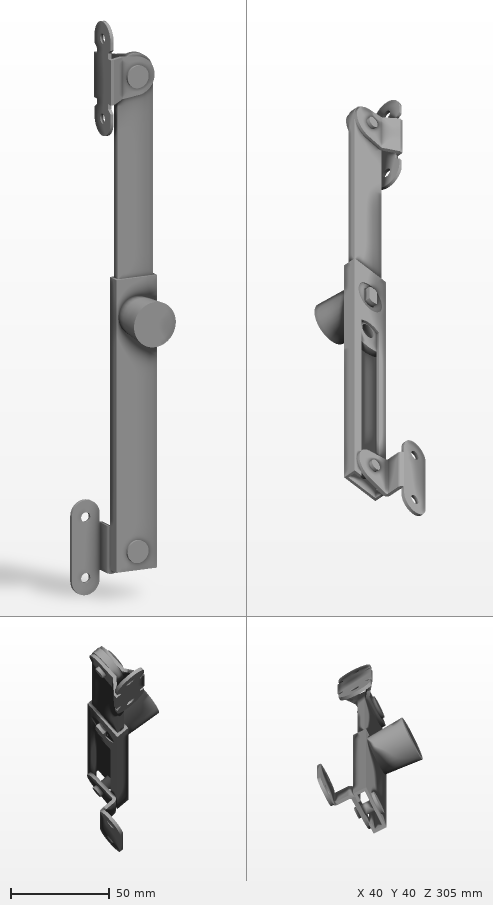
import cadquery as cq
import math


TOTAL_LENGTH = 305.0
SHEET = 1.8

BAR_THICKNESS = 4.0
BAR_HALF_WIDTH = 10.0
BAR_BOTTOM = 89.7
BAR_BOTTOM_ARCH = 2.5
BAR_OVERHANG = 11.5
BAR_HOLE_DIAMETER = 8.2
BAR_HOLE_Z = 101.0

TUBE_THICKNESS = 7.3
TUBE_WALL = 1.5
TUBE_BOTTOM = -10.0
TUBE_TOP = 144.0
WINDOW_WIDTH = 12.8
WINDOW_ARCH = 1.8
WINDOW_TOP = BAR_HOLE_Z + BAR_HOLE_DIAMETER / 2
TUBE_FACE = TUBE_THICKNESS / 2
CAVITY_HALF = TUBE_FACE - TUBE_WALL

LOWER_PLATE_LENGTH = 50.0
LOWER_PLATE_WIDTH = 16.0
LOWER_HOLE_SPACING = 32.0
LOWER_HOLE_DIAMETER = 5.2
LOWER_PLATE_X = -16.0
LOWER_PLATE_EDGE_Y = -28.0
WEB_TOP_Y = -10.5
WEB_HALF_HEIGHT = 12.5
BEND_INNER_RADIUS = 1.0
BEND_OUTER_RADIUS = BEND_INNER_RADIUS + SHEET
LOWER_PLATE_CENTRE_Y = LOWER_PLATE_EDGE_Y + LOWER_PLATE_WIDTH / 2

UPPER_PLATE_LENGTH = 60.0
UPPER_PLATE_Y = -16.0
UPPER_HOLE_SPACING = 42.0
UPPER_HOLE_DIAMETER = 5.2
UPPER_END_RADIUS = (UPPER_PLATE_LENGTH - UPPER_HOLE_SPACING) / 2
UPPER_MIDDLE_HALF_WIDTH = 9.5
UPPER_MIDDLE_HALF_HEIGHT = 12.0
NECK_HALF_WIDTH = 6.5
NECK_HALF_HEIGHT = 15.0
UPPER_END_SIDE = 4.3
LEG_BEND_Y = -8.2
LEG_FOOT_X = 9.5
LEG_OUTER_X = BAR_THICKNESS / 2 + SHEET

UPPER_PIVOT_Z = TOTAL_LENGTH - (LOWER_PLATE_LENGTH + UPPER_PLATE_LENGTH) / 2
TAB_RADIUS = 10.0
RIVET_DIAMETER = 6.0
RIVET_STICKOUT = 2.0
RIVET_HEAD_DIAMETER = 12.0
RIVET_HEAD_HEIGHT = 1.5

KNOB_Z = 124.0
KNOB_BASE_RADIUS = 10.5
KNOB_END_RADIUS = 12.0
KNOB_END_X = 24.0
SHAFT_DIAMETER = 10.0
SHAFT_FLATS = 5.8
SHAFT_END_X = -5.8
DISC_DIAMETER = 17.5
DISC_CLEARANCE = 0.5
DISC_RECESS = 0.5


def box(x_range, y_range, z_range):
    """Box between the given pairs of limits."""
    limits = (x_range, y_range, z_range)
    sizes = [high - low for low, high in limits]
    corner = [low for low, high in limits]
    return cq.Workplane("XY").box(*sizes, centered=False).translate(corner)


def rod(diameter, x_start, x_end, z):
    """Cylinder along X at the given height."""
    return cq.Workplane("YZ", origin=(x_start, 0, z)).circle(diameter / 2).extrude(x_end - x_start)


def tapered_tab(base_y, base_half_height, far_y):
    """Side outline around a pivot at z = 0: round end, straight tangent flanks, square foot to far_y."""
    reach = math.hypot(base_y, base_half_height)
    angle = math.atan2(base_half_height, base_y) - math.acos(TAB_RADIUS / reach)
    tangent_y = TAB_RADIUS * math.cos(angle)
    tangent_z = TAB_RADIUS * math.sin(angle)
    return (
        cq.Workplane("YZ", origin=(-TOTAL_LENGTH / 2, 0, 0))
        .moveTo(far_y, -base_half_height)
        .lineTo(base_y, -base_half_height)
        .lineTo(tangent_y, -tangent_z)
        .threePointArc((TAB_RADIUS, 0), (tangent_y, tangent_z))
        .lineTo(base_y, base_half_height)
        .lineTo(far_y, base_half_height)
        .close()
        .extrude(TOTAL_LENGTH)
    )


def make_shaft(x_end, clearance=0):
    """Shaft with two flats from its free end to x_end, widened all round by the clearance."""
    half = SHAFT_FLATS / 2 + clearance
    flats = box((SHAFT_END_X, x_end), (-half, half), (0, TOTAL_LENGTH))
    return rod(SHAFT_DIAMETER + 2 * clearance, SHAFT_END_X, x_end, KNOB_Z).intersect(flats)


def make_bar():
    """Flat sliding bar with an arched top and holes for the upper rivet, the shaft and a stop."""
    half = BAR_THICKNESS / 2
    arch_start = UPPER_PIVOT_Z + BAR_OVERHANG - BAR_HALF_WIDTH
    bar = (
        cq.Workplane("YZ", origin=(-half, 0, 0))
        .moveTo(-BAR_HALF_WIDTH, BAR_BOTTOM + BAR_BOTTOM_ARCH)
        .threePointArc((0, BAR_BOTTOM), (BAR_HALF_WIDTH, BAR_BOTTOM + BAR_BOTTOM_ARCH))
        .lineTo(BAR_HALF_WIDTH, arch_start)
        .threePointArc((0, UPPER_PIVOT_Z + BAR_OVERHANG), (-BAR_HALF_WIDTH, arch_start))
        .close()
        .extrude(BAR_THICKNESS)
    )
    bar = bar.cut(rod(BAR_HOLE_DIAMETER, -half, half, BAR_HOLE_Z))
    bar = bar.cut(rod(RIVET_DIAMETER, -half, half, UPPER_PIVOT_Z))
    return bar.cut(make_shaft(TUBE_FACE))


def make_tube():
    """Rectangular tube with a window on the -X side that is open at the bottom end."""
    half_width = BAR_HALF_WIDTH + TUBE_WALL
    length = (TUBE_BOTTOM, TUBE_TOP)
    tube = box((-TUBE_FACE, TUBE_FACE), (-half_width, half_width), length)
    tube = tube.cut(box((-CAVITY_HALF, CAVITY_HALF), (-BAR_HALF_WIDTH, BAR_HALF_WIDTH), length))
    window_side = WINDOW_WIDTH / 2
    arch_start = WINDOW_TOP - WINDOW_ARCH
    window = (
        cq.Workplane("YZ", origin=(-TUBE_FACE, 0, 0))
        .moveTo(-window_side, TUBE_BOTTOM)
        .lineTo(window_side, TUBE_BOTTOM)
        .lineTo(window_side, arch_start)
        .threePointArc((0, WINDOW_TOP), (-window_side, arch_start))
        .close()
        .extrude(TUBE_WALL)
    )
    tube = tube.cut(window)
    tube = tube.cut(rod(DISC_DIAMETER, -TUBE_FACE, -CAVITY_HALF, KNOB_Z))
    tube = tube.cut(rod(RIVET_DIAMETER, -TUBE_FACE, TUBE_FACE, 0))
    return tube.cut(make_shaft(TUBE_FACE))


def make_lower_bracket():
    """Z-bent bracket: wall plate, web along X and a tapered flange on the tube face."""
    plate_in = LOWER_PLATE_X + SHEET
    flange_out = -TUBE_FACE - SHEET
    web_bottom_y = WEB_TOP_Y - SHEET
    section = (
        cq.Workplane("XY", origin=(0, 0, -WEB_HALF_HEIGHT))
        .polyline([
            (LOWER_PLATE_X, LOWER_PLATE_CENTRE_Y),
            (plate_in, LOWER_PLATE_CENTRE_Y),
            (plate_in, web_bottom_y),
            (-TUBE_FACE, web_bottom_y),
            (-TUBE_FACE, TAB_RADIUS),
            (flange_out, TAB_RADIUS),
            (flange_out, WEB_TOP_Y),
            (LOWER_PLATE_X, WEB_TOP_Y),
        ])
        .close()
        .extrude(2 * WEB_HALF_HEIGHT)
    )
    outer_bends = [(LOWER_PLATE_X, WEB_TOP_Y, 0), (-TUBE_FACE, web_bottom_y, 0)]
    inner_bends = [(plate_in, web_bottom_y, 0), (flange_out, WEB_TOP_Y, 0)]
    for corner in outer_bends:
        section = section.edges(cq.NearestToPointSelector(corner)).fillet(BEND_OUTER_RADIUS)
    for corner in inner_bends:
        section = section.edges(cq.NearestToPointSelector(corner)).fillet(BEND_INNER_RADIUS)
    bent = section.intersect(tapered_tab(WEB_TOP_Y, WEB_HALF_HEIGHT, LOWER_PLATE_EDGE_Y))

    plate_plane = cq.Workplane("YZ", origin=(LOWER_PLATE_X, LOWER_PLATE_CENTRE_Y, 0))
    plate = plate_plane.slot2D(LOWER_PLATE_LENGTH, LOWER_PLATE_WIDTH, 90).extrude(SHEET)
    screw_holes = (
        plate_plane.pushPoints([(0, -LOWER_HOLE_SPACING / 2), (0, LOWER_HOLE_SPACING / 2)])
        .circle(LOWER_HOLE_DIAMETER / 2)
        .extrude(SHEET)
    )
    bracket = bent.union(plate).cut(screw_holes)
    return bracket.cut(rod(RIVET_DIAMETER, flange_out, -TUBE_FACE, 0))


def make_upper_plate():
    """Wall plate with round ends, and notches beside the legs, centred on z = 0."""
    plane = cq.Workplane("XZ", origin=(0, UPPER_PLATE_Y, 0))
    hole_centres = [(0, -UPPER_HOLE_SPACING / 2), (0, UPPER_HOLE_SPACING / 2)]
    ends = plane.pushPoints(hole_centres).circle(UPPER_END_RADIUS).extrude(SHEET)
    hole_z = UPPER_HOLE_SPACING / 2
    side_z = hole_z - UPPER_END_SIDE
    half_outline = [
        (UPPER_END_RADIUS, hole_z),
        (UPPER_END_RADIUS, side_z),
        (NECK_HALF_WIDTH, NECK_HALF_HEIGHT),
        (NECK_HALF_WIDTH, -NECK_HALF_HEIGHT),
        (UPPER_END_RADIUS, -side_z),
        (UPPER_END_RADIUS, -hole_z),
    ]
    neck = plane.polyline(half_outline + [(-x, -z) for x, z in half_outline]).close().extrude(SHEET)
    middle = plane.rect(2 * UPPER_MIDDLE_HALF_WIDTH, 2 * UPPER_MIDDLE_HALF_HEIGHT).extrude(SHEET)
    screw_holes = plane.pushPoints(hole_centres).circle(UPPER_HOLE_DIAMETER / 2).extrude(SHEET)
    return middle.union(neck).union(ends).cut(screw_holes)


def make_upper_bracket():
    """Wall plate with two splayed legs that hold the top of the bar between them."""
    inner_x = BAR_THICKNESS / 2
    splay = math.atan2(LEG_FOOT_X - LEG_OUTER_X, LEG_BEND_Y - UPPER_PLATE_Y)
    inner_bend_y = LEG_BEND_Y - SHEET * math.tan(splay / 2)
    inner_foot_x = LEG_FOOT_X - SHEET / math.cos(splay)
    leg = (
        cq.Workplane("XY", origin=(0, 0, -UPPER_MIDDLE_HALF_HEIGHT))
        .polyline([
            (inner_x, TAB_RADIUS),
            (LEG_OUTER_X, TAB_RADIUS),
            (LEG_OUTER_X, LEG_BEND_Y),
            (LEG_FOOT_X, UPPER_PLATE_Y),
            (inner_foot_x, UPPER_PLATE_Y),
            (inner_x, inner_bend_y),
        ])
        .close()
        .extrude(2 * UPPER_MIDDLE_HALF_HEIGHT)
        .intersect(tapered_tab(UPPER_PLATE_Y, UPPER_MIDDLE_HALF_HEIGHT, UPPER_PLATE_Y - SHEET))
    )
    bracket = make_upper_plate().union(leg).union(leg.mirror("YZ"))
    bracket = bracket.cut(rod(RIVET_DIAMETER, -LEG_OUTER_X, LEG_OUTER_X, 0))
    return bracket.translate((0, 0, UPPER_PIVOT_Z))


def make_rivet(grip_start, grip_end, z):
    """Pivot rivet: plain end standing out on the -X side, wide head on the +X side."""
    shank = rod(RIVET_DIAMETER, grip_start - RIVET_STICKOUT, grip_end, z)
    return shank.union(rod(RIVET_HEAD_DIAMETER, grip_end, grip_end + RIVET_HEAD_HEIGHT, z))


def make_disc():
    """Clamping disc set in the tube wall around the shaft."""
    disc = rod(DISC_DIAMETER, -TUBE_FACE + DISC_RECESS, -CAVITY_HALF, KNOB_Z)
    return disc.cut(make_shaft(TUBE_FACE, DISC_CLEARANCE))


def make_knob():
    """Conical knob with its flatted shaft."""
    grip = (
        cq.Workplane("XY")
        .polyline([
            (TUBE_FACE, 0),
            (TUBE_FACE, -KNOB_BASE_RADIUS),
            (KNOB_END_X, -KNOB_END_RADIUS),
            (KNOB_END_X, 0),
        ])
        .close()
        .revolve(360, (0, 0, 0), (1, 0, 0))
        .translate((0, 0, KNOB_Z))
    )
    return grip.union(make_shaft(TUBE_FACE))


bar = make_bar()
tube = make_tube()
lower_bracket = make_lower_bracket()
upper_bracket = make_upper_bracket()
disc = make_disc()
knob = make_knob()
rivet_grips = [
    (-TUBE_FACE - SHEET, TUBE_FACE, 0),
    (-LEG_OUTER_X, LEG_OUTER_X, UPPER_PIVOT_Z),
]
rivets = [make_rivet(*grip).val() for grip in rivet_grips]

result = cq.Compound.makeCompound([
    bar.val(),
    tube.val(),
    lower_bracket.val(),
    upper_bracket.val(),
    disc.val(),
    knob.val(),
    *rivets,
])